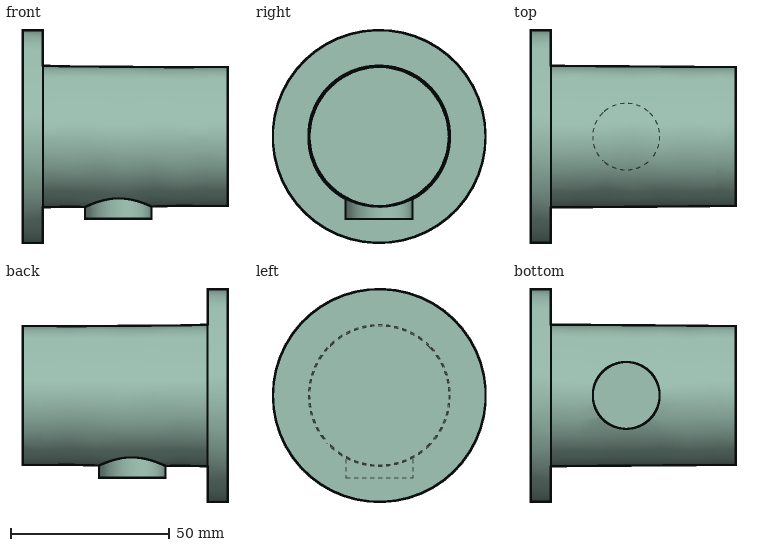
import cadquery as cq

flange_diameter = 67.2
flange_thickness = 6.4

total_length = 64.8
collar_length = 6.2
root_radius = 22.4
collar_radius = 22.0
barrel_end = total_length - collar_length

stub_diameter = 21.1
stub_center_x = 30.2
stub_reach = 26.0


def make_flange():
    return cq.Workplane("YZ").circle(flange_diameter / 2).extrude(flange_thickness)


def make_barrel():
    profile = (
        cq.Workplane("XY")
        .moveTo(flange_thickness, 0)
        .lineTo(total_length, 0)
        .lineTo(total_length, collar_radius)
        .lineTo(barrel_end, collar_radius)
        .lineTo(flange_thickness, root_radius)
        .close()
    )
    return profile.revolve(360, (0, 0, 0), (1, 0, 0))


def make_stub():
    return (
        cq.Workplane("XY", origin=(stub_center_x, 0, -stub_reach))
        .circle(stub_diameter / 2)
        .extrude(stub_reach)
    )


result = make_flange().union(make_barrel()).union(make_stub())